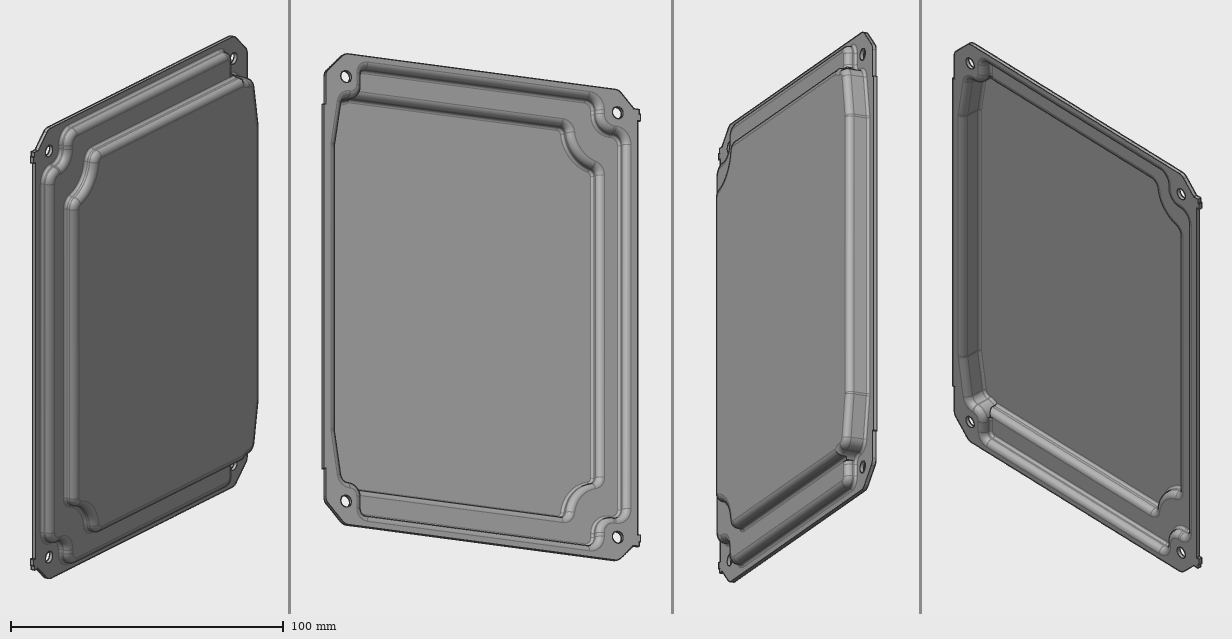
import cadquery as cq
import math

SHEET = 1.49
INNER_BEND = 1.0
OUTER_BEND = INNER_BEND + SHEET
TOTAL_DEPTH = 10.0
LEDGE_DEPTH = 5.5
HEIGHT = 177.5

PLATE_FRONT = -65.3
PLATE_BACK = 65.5
CORNER_CUT = 8.0
CORNER_ROUND = 3.5
LIP_BACK = 66.4
LIP_HALF_HEIGHT = 68.7
TAB_FRONT = -66.5
TAB_SHOULDER = -66.0
TAB_BOTTOM = 78.1
TAB_STEP = 80.5
TAB_TOP = 82.4
TAB_ROOT = -61.8

HOLE_DIAMETER = 4.5
HOLE_Y = 57.0
HOLE_Z = 80.0

PAN_FRONT = -60.0
PAN_BACK = 60.9
PAN_HALF_HEIGHT = 84.1
NOTCH_FRONT = -48.8
NOTCH_BACK = 50.0
NOTCH_Z = 72.5
BACK_STRAIGHT_HALF = 53.8
SLANT_ANGLE = 9.2
FRONT_OUTER_ROUND = 3.7
FRONT_INNER_ROUND = 6.5
BACK_OUTER_ROUND = 2.1
BACK_INNER_ROUND = 5.1
SLANT_ROUND = 3.5
SLANT_END_ROUND = 2.8

WELL_FRONT = -51.1
WELL_HALF_HEIGHT = 73.7
SCALLOP_Y = -52.7
SCALLOP_Z = 73.1
SCALLOP_RADIUS = 14.2
SCALLOP_ROUND = 2.5


def rounded_outline(corners):
    """Closed YZ outline through (y, z, radius) corners, each rounded by its own tangent arc."""
    pieces = []
    for i, (y, z, radius) in enumerate(corners):
        corner = cq.Vector(y, z)
        before = cq.Vector(*corners[i - 1][:2])
        after = cq.Vector(*corners[(i + 1) % len(corners)][:2])
        to_before = (before - corner).normalized()
        to_after = (after - corner).normalized()
        half_angle = to_before.getAngle(to_after) / 2
        tangent = radius / math.tan(half_angle)
        bisector = (to_before + to_after).normalized()
        middle = corner + bisector * (radius / math.sin(half_angle) - radius)
        pieces.append((corner + to_before * tangent, middle, corner + to_after * tangent))
    outline = cq.Workplane("YZ").moveTo(*pieces[-1][2].toTuple()[:2])
    for start, middle, end in pieces:
        outline = outline.lineTo(*start.toTuple()[:2])
        outline = outline.threePointArc(middle.toTuple()[:2], end.toTuple()[:2])
    return outline.close()


def mirrored(upper):
    """Upper corners followed by their mirror images below Z = 0."""
    return upper + [(y, -z, radius) for y, z, radius in reversed(upper)]


def pan_outline():
    """Inner wall of the pan, stepped in at every corner to clear the mounting holes."""
    slant_y = PAN_BACK - (NOTCH_Z - BACK_STRAIGHT_HALF) * math.tan(math.radians(SLANT_ANGLE))
    return rounded_outline(mirrored([
        (PAN_FRONT, NOTCH_Z, FRONT_OUTER_ROUND),
        (NOTCH_FRONT, NOTCH_Z, FRONT_INNER_ROUND),
        (NOTCH_FRONT, PAN_HALF_HEIGHT, FRONT_OUTER_ROUND),
        (NOTCH_BACK, PAN_HALF_HEIGHT, BACK_OUTER_ROUND),
        (NOTCH_BACK, NOTCH_Z, BACK_INNER_ROUND),
        (slant_y, NOTCH_Z, SLANT_END_ROUND),
        (PAN_BACK, BACK_STRAIGHT_HALF, SLANT_ROUND),
    ]))


def pan(depth, grow, floor_round):
    """Pan solid with its walls moved out by grow and its floor edge rounded."""
    outline = pan_outline()
    if grow:
        outline = outline.offset2D(grow)
    return outline.extrude(depth).faces(">X").edges().fillet(floor_round)


def well_block(depth, grow):
    """Block with scalloped front corners; its back end runs out past the pan."""
    front = WELL_FRONT - grow
    height = 2 * (WELL_HALF_HEIGHT + grow)
    block = cq.Workplane("YZ").center(front + HEIGHT / 2, 0).rect(HEIGHT, height).extrude(depth)
    scallops = (
        cq.Workplane("YZ")
        .pushPoints([(SCALLOP_Y, SCALLOP_Z), (SCALLOP_Y, -SCALLOP_Z)])
        .circle(SCALLOP_RADIUS - grow)
        .extrude(depth)
    )
    return block.cut(scallops).edges("|X and (not >Y)").fillet(SCALLOP_ROUND + grow)


def wide_slab(top):
    """Slab reaching far beyond the part, with its +X face at top."""
    return cq.Workplane("YZ", origin=(-SHEET, 0, 0)).rect(3 * HEIGHT, 3 * HEIGHT).extrude(top + SHEET)


def edges_at(depth):
    """Selector for the edges where a shape rises from a wide slab whose face lies at this depth."""
    near = SHEET / 10
    return cq.selectors.BoxSelector((depth - near, -HEIGHT, -HEIGHT), (depth + near, HEIGHT, HEIGHT))


def pressed_shape(mouth, ledge, depth, grow, floor_round, mouth_round):
    """Wide slab with the pan, ledge and well rising from its face at mouth, all bends rounded."""
    well = well_block(depth, grow).faces(">X").edges("not >Y").fillet(floor_round)
    well = wide_slab(ledge).union(well)
    well = well.edges(edges_at(ledge)).edges("not >Y").fillet(mouth_round)
    well = well.cut(wide_slab(ledge)).union(well_block(ledge, grow + mouth_round))
    well = well.intersect(pan(depth, grow, floor_round))
    shape = wide_slab(mouth).union(pan(ledge, grow, floor_round)).union(well)
    return shape.edges(edges_at(mouth)).fillet(mouth_round)


def blank(depth):
    """Flange outline with cut corners, back lip and two front tabs, extruded to a depth."""
    top = HEIGHT / 2
    body = rounded_outline(mirrored([
        (PLATE_FRONT, top - CORNER_CUT, CORNER_ROUND),
        (PLATE_FRONT + CORNER_CUT, top, CORNER_ROUND),
        (PLATE_BACK - CORNER_CUT, top, CORNER_ROUND),
        (PLATE_BACK, top - CORNER_CUT, CORNER_ROUND),
    ])).extrude(depth)
    lip = cq.Workplane("YZ").center(LIP_BACK / 2, 0).rect(LIP_BACK, 2 * LIP_HALF_HEIGHT).extrude(depth)
    tab = (
        cq.Workplane("YZ")
        .polyline([
            (TAB_ROOT, TAB_BOTTOM),
            (TAB_FRONT, TAB_BOTTOM),
            (TAB_FRONT, TAB_STEP),
            (TAB_SHOULDER, TAB_STEP),
            (TAB_SHOULDER, TAB_TOP),
            (TAB_ROOT, TAB_TOP),
        ])
        .close()
        .extrude(depth)
    )
    return body.union(lip).union(tab).union(tab.mirror("XY"))


outer = pressed_shape(SHEET, LEDGE_DEPTH, TOTAL_DEPTH, SHEET, OUTER_BEND, INNER_BEND)
cavity = pressed_shape(0, LEDGE_DEPTH - SHEET, TOTAL_DEPTH - SHEET, 0, INNER_BEND, OUTER_BEND)
holes = (
    cq.Workplane("YZ")
    .rect(2 * HOLE_Y, 2 * HOLE_Z, forConstruction=True)
    .vertices()
    .circle(HOLE_DIAMETER / 2)
    .extrude(SHEET)
)
result = outer.cut(cavity).intersect(blank(TOTAL_DEPTH)).cut(holes)